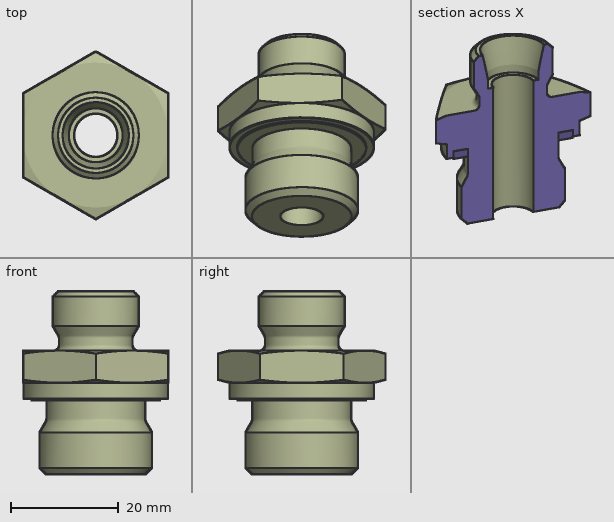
import cadquery as cq
import math

total_height = 34.0
hex_bottom = 17.0
hex_top = 23.0
collar_bottom = 14.0

hex_across_flats = 27.0
hex_across_corners = hex_across_flats / math.cos(math.radians(30))
collar_diameter = 26.9
collar_edge_chamfer = 0.1
hex_chamfer_angle = 15.0

stud_diameter = 20.95
stud_end_diameter = 18.5
stud_top = 7.8
stud_neck_diameter = 18.4
stud_blend_radius = 1.3

spigot_diameter = 16.0
spigot_bottom = 27.55
spigot_chamfer = 1.02
spigot_neck_diameter = 13.7
spigot_blend_radius = 0.9
spigot_root_fillet = 1.0

runout_angle = math.radians(30)

bore_diameter = 8.0
socket_diameter = 10.0
socket_depth = 7.0
cone_mouth_diameter = 12.3
cone_half_angle = math.radians(12)

ring_diameter = 23.9
recess_diameter = 24.0
ring_bottom = 13.75
ring_top = 15.3


def runout_blend(neck_radius, body_radius, body_edge, direction, blend_radius):
    """Points of a run-out: neck tangent, arc middle and cone tangent, as (radius, z)."""
    def arc_point(angle):
        return blend_radius * (1 - math.cos(angle)), blend_radius * math.sin(angle)

    cone_rise, arc_length = arc_point(runout_angle)
    middle_rise, middle_length = arc_point(runout_angle / 2)
    cone_radius = neck_radius + cone_rise
    cone_end = body_edge + direction * (body_radius - cone_radius) / math.tan(runout_angle)
    neck_end = cone_end + direction * arc_length
    return (
        (neck_radius, neck_end),
        (neck_radius + middle_rise, neck_end - direction * middle_length),
        (cone_radius, cone_end),
    )


def make_stud():
    """Lower stud with end chamfer and undercut neck, reaching up to the hexagon."""
    radius = stud_diameter / 2
    end_radius = stud_end_diameter / 2
    neck_radius = stud_neck_diameter / 2
    neck, middle, cone = runout_blend(neck_radius, radius, stud_top, 1, stud_blend_radius)
    return (
        cq.Workplane("XZ")
        .lineTo(end_radius, 0)
        .lineTo(radius, radius - end_radius)
        .lineTo(radius, stud_top)
        .lineTo(*cone)
        .threePointArc(middle, neck)
        .lineTo(neck_radius, hex_bottom)
        .lineTo(0, hex_bottom)
        .close()
        .revolve(360, (0, 0), (0, 1))
    )


def make_spigot():
    """Upper spigot with undercut neck and a fillet onto the hexagon."""
    radius = spigot_diameter / 2
    neck_radius = spigot_neck_diameter / 2
    neck, middle, cone = runout_blend(
        neck_radius, radius, spigot_bottom, -1, spigot_blend_radius
    )
    root_radius = neck_radius + spigot_root_fillet
    root_top = hex_top + spigot_root_fillet
    diagonal = spigot_root_fillet * math.sqrt(0.5)
    return (
        cq.Workplane("XZ")
        .moveTo(0, hex_top)
        .lineTo(root_radius, hex_top)
        .threePointArc((root_radius - diagonal, root_top - diagonal), (neck_radius, root_top))
        .lineTo(*neck)
        .threePointArc(middle, cone)
        .lineTo(radius, spigot_bottom)
        .lineTo(radius, total_height - spigot_chamfer)
        .lineTo(radius - spigot_chamfer, total_height)
        .lineTo(0, total_height)
        .close()
        .revolve(360, (0, 0), (0, 1))
    )


def make_hexagon():
    """Hexagon with flats facing +X and -X and its corners chamfered at both ends."""
    prism = (
        cq.Workplane("XY", origin=(0, 0, hex_bottom))
        .transformed(rotate=(0, 0, 90))
        .polygon(6, hex_across_corners)
        .extrude(hex_top - hex_bottom)
    )
    face_radius = collar_diameter / 2
    corner_radius = hex_across_corners / 2
    drop = (corner_radius - face_radius) * math.tan(math.radians(hex_chamfer_angle))
    envelope = (
        cq.Workplane("XZ")
        .moveTo(0, hex_bottom)
        .lineTo(face_radius, hex_bottom)
        .lineTo(corner_radius, hex_bottom + drop)
        .lineTo(corner_radius, hex_top - drop)
        .lineTo(face_radius, hex_top)
        .lineTo(0, hex_top)
        .close()
        .revolve(360, (0, 0), (0, 1))
    )
    return prism.intersect(envelope)


def make_collar():
    """Round collar with a broken lower edge and an annular recess in its underside for the sealing ring."""
    collar = (
        cq.Workplane("XY", origin=(0, 0, collar_bottom))
        .circle(collar_diameter / 2)
        .extrude(hex_bottom - collar_bottom)
        .faces("<Z")
        .edges()
        .chamfer(collar_edge_chamfer)
    )
    recess = (
        cq.Workplane("XY", origin=(0, 0, collar_bottom))
        .circle(recess_diameter / 2)
        .circle(stud_neck_diameter / 2)
        .extrude(ring_top - collar_bottom)
    )
    return collar.cut(recess)


def make_bore():
    """Cutter for the through bore, the tube socket and the entry cone."""
    mouth_radius = cone_mouth_diameter / 2
    socket_radius = socket_diameter / 2
    bore_radius = bore_diameter / 2
    cone_depth = (mouth_radius - socket_radius) / math.tan(cone_half_angle)
    return (
        cq.Workplane("XZ")
        .lineTo(bore_radius, 0)
        .lineTo(bore_radius, total_height - socket_depth)
        .lineTo(socket_radius, total_height - socket_depth)
        .lineTo(socket_radius, total_height - cone_depth)
        .lineTo(mouth_radius, total_height)
        .lineTo(0, total_height)
        .close()
        .revolve(360, (0, 0), (0, 1))
    )


def make_fitting():
    """Complete fitting body as one solid."""
    outside = make_hexagon().union(make_collar()).union(make_stud()).union(make_spigot())
    return outside.cut(make_bore())


def make_sealing_ring():
    """Flat ring around the stud neck, seated against the top of the collar recess."""
    return (
        cq.Workplane("XY", origin=(0, 0, ring_bottom))
        .circle(ring_diameter / 2)
        .circle(stud_neck_diameter / 2)
        .extrude(ring_top - ring_bottom)
    )


fitting = make_fitting().solids()
sealing_ring = make_sealing_ring()

result = cq.Compound.makeCompound([fitting.val(), sealing_ring.val()])